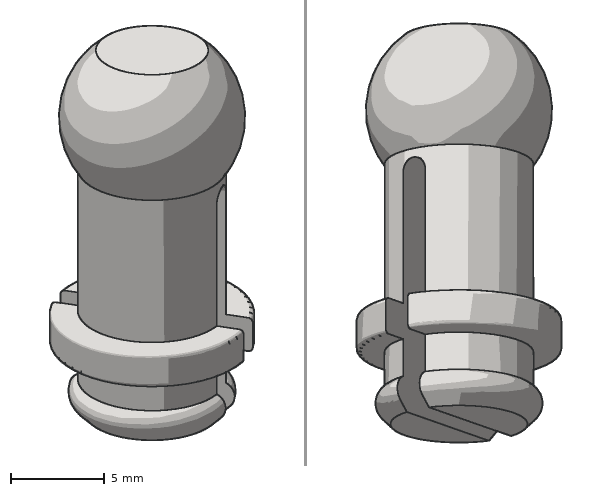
import cadquery as cq
import math

height = 21.5

ball_radius = 5.0
ball_center_z = 17.5
shank_radius = 4.0
ball_top_radius = math.sqrt(ball_radius**2 - (height - ball_center_z)**2)
ball_base_z = ball_center_z - math.sqrt(ball_radius**2 - shank_radius**2)

collar_radius = 5.5
collar_bottom_z = 4.0
collar_thickness = 2.0
collar_fillet = 0.25

bead_radius = 4.5
bead_round = 0.84
bead_center_z = 1.16
bead_center_radius = bead_radius - bead_round
tangent_offset = bead_round * math.sqrt(0.5)
lead_in_radius = bead_center_radius + tangent_offset
lead_in_height = bead_center_z - tangent_offset
foot_radius = lead_in_radius - lead_in_height
bead_top_z = bead_center_z + math.sqrt(bead_round**2 - (shank_radius - bead_center_radius)**2)

slot_width = 1.5
slot_top_z = 14.0


def make_body():
    """Revolve the snap bead, shank and ball as one profile."""
    return (
        cq.Workplane("XZ")
        .lineTo(foot_radius, 0)
        .lineTo(lead_in_radius, lead_in_height)
        .threePointArc((bead_radius, bead_center_z), (shank_radius, bead_top_z))
        .lineTo(shank_radius, ball_base_z)
        .threePointArc((ball_radius, ball_center_z), (ball_top_radius, height))
        .lineTo(0, height)
        .close()
        .revolve(360, (0, 0, 0), (0, 1, 0))
    )


def make_collar():
    return (
        cq.Workplane("XY", origin=(0, 0, collar_bottom_z))
        .circle(collar_radius)
        .extrude(collar_thickness)
        .edges()
        .fillet(collar_fillet)
    )


def make_slot():
    """Open at the foot, running through the whole part along X."""
    half_width = slot_width / 2
    arc_center_z = slot_top_z - half_width
    return (
        cq.Workplane("YZ")
        .moveTo(-half_width, 0)
        .lineTo(half_width, 0)
        .lineTo(half_width, arc_center_z)
        .threePointArc((0, slot_top_z), (-half_width, arc_center_z))
        .close()
        .extrude(collar_radius, both=True)
    )


result = make_body().union(make_collar()).cut(make_slot())